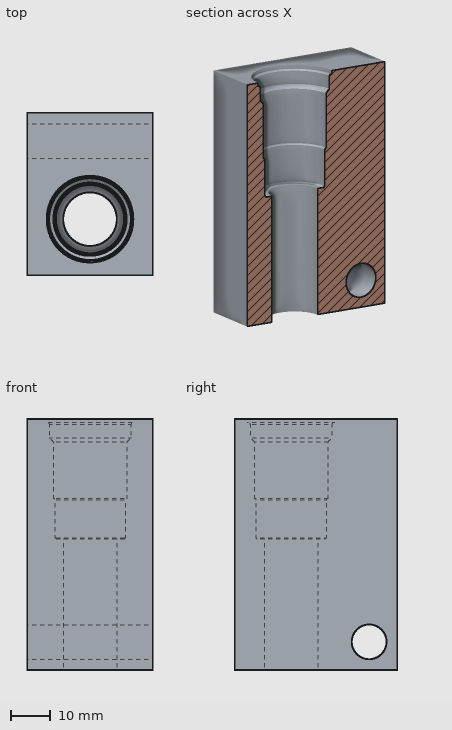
import cadquery as cq

width = 31.75
depth = 41.15
height = 63.5

cross_hole_diameter = 8.73
cross_hole_edge_distance = 7.14

cavity_x = width / 2
cavity_y = 14.22
through_diameter = 13.5
mouth_diameter = 22.0
mouth_depth = 0.9
seat_diameter = 21.2
upper_diameter = 20.6
upper_start_depth = 1.3
upper_end_depth = 4.75
middle_diameter = 18.6
middle_end_depth = 20.0
lower_diameter = 17.8
lower_end_depth = 30.0
floor_diameter = 17.2


def make_block():
    return cq.Workplane("XY").box(width, depth, height, centered=False)


def make_cross_hole():
    return (
        cq.Workplane("YZ")
        .center(depth - cross_hole_edge_distance, cross_hole_edge_distance)
        .circle(cross_hole_diameter / 2)
        .extrude(width)
    )


def make_cavity():
    """Revolve the stepped half profile of the cavity about its vertical axis."""
    middle_start_depth = upper_end_depth + (upper_diameter - middle_diameter) / 2
    lower_start_depth = middle_end_depth + (middle_diameter - lower_diameter) / 2
    floor_depth = lower_end_depth + (lower_diameter - floor_diameter) / 2
    steps = [
        (mouth_diameter, 0),
        (mouth_diameter, mouth_depth),
        (seat_diameter, mouth_depth),
        (upper_diameter, upper_start_depth),
        (upper_diameter, upper_end_depth),
        (middle_diameter, middle_start_depth),
        (middle_diameter, middle_end_depth),
        (lower_diameter, lower_start_depth),
        (lower_diameter, lower_end_depth),
        (floor_diameter, floor_depth),
        (through_diameter, floor_depth),
        (through_diameter, height),
    ]
    half_profile = [(diameter / 2, height - level) for diameter, level in steps]
    return (
        cq.Workplane("XZ")
        .moveTo(0, height)
        .polyline(half_profile, includeCurrent=True)
        .lineTo(0, 0)
        .close()
        .revolve(360, (0, 0, 0), (0, 1, 0))
        .translate((cavity_x, cavity_y, 0))
    )


result = make_block().cut(make_cross_hole()).cut(make_cavity())